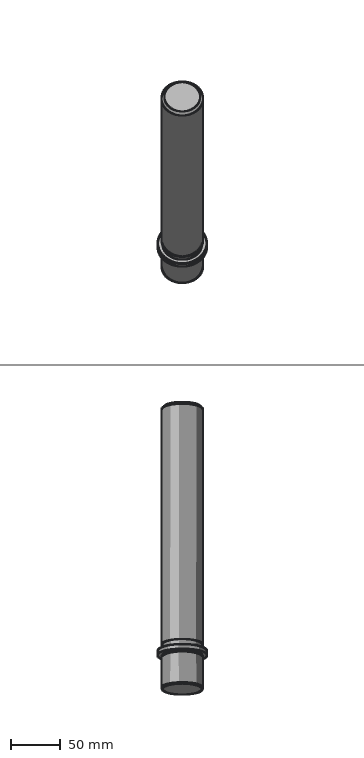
import cadquery as cq

total_length = 295.0
body_radius = 21.0
tip_chamfer = 3.0

foot_top = 33.5
foot_chamfer_height = 1.5
foot_chamfer_inset = 1.0

neck_radius = 20.0
neck_top = 46.5

collar_diameter = 50.0
collar_bottom = 35.5
collar_top = 40.5
collar_chamfer = 0.5


def cylinder(radius, bottom, top):
    """Cylinder about the Z axis between two heights."""
    return cq.Workplane("XY").workplane(offset=bottom).circle(radius).extrude(top - bottom)


foot = cylinder(body_radius, 0, foot_top)
foot = foot.faces("<Z").chamfer(foot_chamfer_height, foot_chamfer_inset)

neck = cylinder(neck_radius, foot_top, neck_top)

collar = cylinder(collar_diameter / 2, collar_bottom, collar_top)
collar = collar.faces(">Z").chamfer(collar_chamfer)

shaft = cylinder(body_radius, neck_top, total_length)
shaft = shaft.faces(">Z").chamfer(tip_chamfer)

result = foot.union(neck).union(collar).union(shaft)